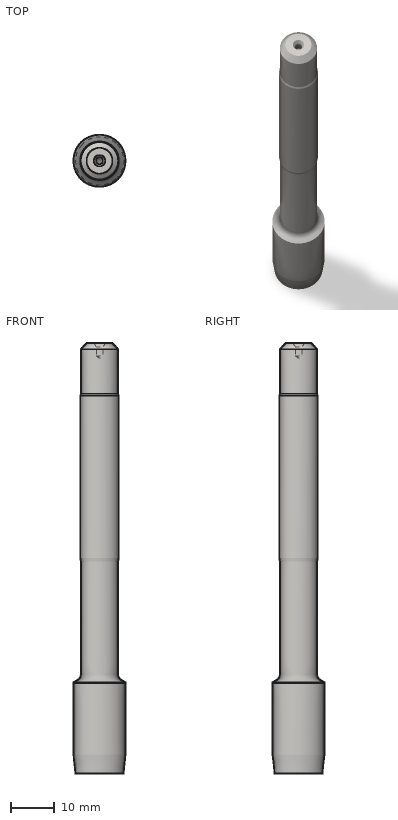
import cadquery as cq
import math

total_length = 100.0
tip_height = 4.4
head_top_z = 21.0
shoulder_outer_z = 21.2
land_start_z = 49.2
land_taper_length = 0.9
end_taper_start_z = 87.7
end_taper_length = 0.5
end_chamfer_height = 1.45

head_diameter = 12.13
tip_end_diameter = 11.2
neck_diameter = 8.7
land_diameter = 9.0
end_diameter = 8.64
end_face_diameter = 6.0

neck_fillet_radius = 1.5
shoulder_slope_angle = 30.0

centre_hole_diameter = 1.6
centre_hole_mouth_diameter = 2.65
countersink_angle = 60.0
centre_hole_depth = 3.0
drill_point_angle = 118.0


def cone_height(large_diameter, small_diameter, included_angle):
    """Axial length of a cone between two diameters."""
    return (large_diameter - small_diameter) / 2 / math.tan(math.radians(included_angle / 2))


def make_head():
    """Cylindrical head with a tapered lower end."""
    profile = (
        cq.Workplane("XZ")
        .lineTo(tip_end_diameter / 2, 0)
        .lineTo(head_diameter / 2, tip_height)
        .lineTo(head_diameter / 2, head_top_z)
        .lineTo(0, head_top_z)
        .close()
    )
    return profile.revolve(360, (0, 0, 0), (0, 1, 0))


def make_shaft():
    """Stepped shaft with a sloping shoulder on the head, a neck, a guide land and a chamfered upper end."""
    countersink_depth = cone_height(centre_hole_mouth_diameter, centre_hole_diameter, countersink_angle)
    drill_point_height = cone_height(centre_hole_diameter, 0, drill_point_angle)
    hole_bottom_z = total_length - centre_hole_depth

    slope = math.radians(shoulder_slope_angle)
    fillet_turn = math.pi / 2 - slope
    fillet_centre_r = neck_diameter / 2 + neck_fillet_radius
    fillet_end_r = fillet_centre_r - neck_fillet_radius * math.cos(fillet_turn)
    fillet_mid_r = fillet_centre_r - neck_fillet_radius * math.cos(fillet_turn / 2)
    fillet_end_z = shoulder_outer_z + (head_diameter / 2 - fillet_end_r) * math.tan(slope)
    fillet_centre_z = fillet_end_z + neck_fillet_radius * math.sin(fillet_turn)
    fillet_mid_z = fillet_centre_z - neck_fillet_radius * math.sin(fillet_turn / 2)

    profile = (
        cq.Workplane("XZ")
        .moveTo(0, head_top_z)
        .lineTo(head_diameter / 2, head_top_z)
        .lineTo(head_diameter / 2, shoulder_outer_z)
        .lineTo(fillet_end_r, fillet_end_z)
        .threePointArc((fillet_mid_r, fillet_mid_z), (neck_diameter / 2, fillet_centre_z))
        .lineTo(neck_diameter / 2, land_start_z)
        .lineTo(land_diameter / 2, land_start_z + land_taper_length)
        .lineTo(land_diameter / 2, end_taper_start_z)
        .lineTo(end_diameter / 2, end_taper_start_z + end_taper_length)
        .lineTo(end_diameter / 2, total_length - end_chamfer_height)
        .lineTo(end_face_diameter / 2, total_length)
        .lineTo(centre_hole_mouth_diameter / 2, total_length)
        .lineTo(centre_hole_diameter / 2, total_length - countersink_depth)
        .lineTo(centre_hole_diameter / 2, hole_bottom_z)
        .lineTo(0, hole_bottom_z - drill_point_height)
        .close()
    )
    return profile.revolve(360, (0, 0, 0), (0, 1, 0))


head = make_head()
shaft = make_shaft()
result = cq.Compound.makeCompound([head.val(), shaft.val()])